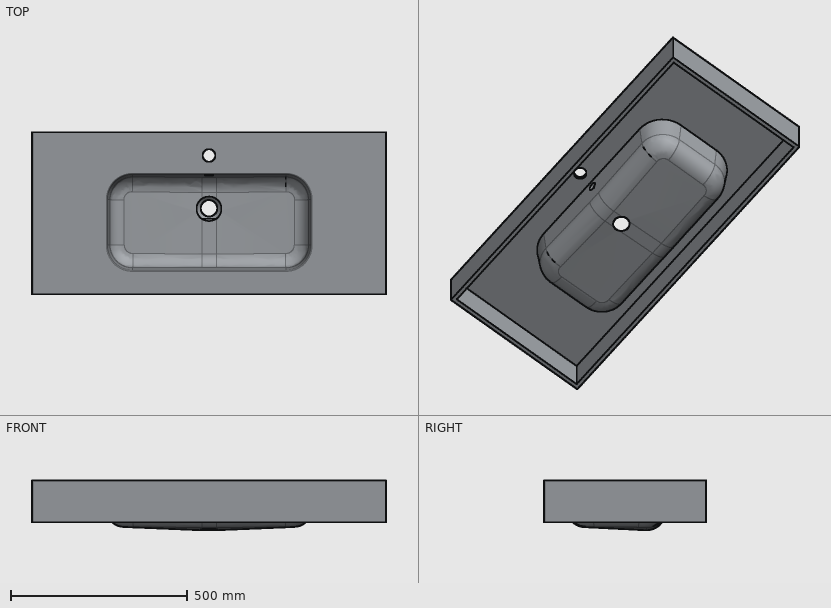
import cadquery as cq

length = 1005.0
depth = 460.0
slab_height = 120.0
shell = 12.0
edge_round = 2.5

bowl_length = 579.0
bowl_width = 273.0
bowl_center_y = -25.0
bowl_corner = 72.0
wall_draft = 6.0
cove_radius = 41.0

floor_depth = 113.0
gutter_depth = 128.0
floor_thickness = 18.0
gutter_half_width = 20.0

drain_y = 14.0
drain_hole = 46.0
drain_rim = 72.0
drain_seat_height = 17.0
drain_seat_bottom = -138.0
tap_y = 164.0
tap_hole = 35.0
overflow_z = -38.0
overflow_hole = 24.0

bowl_back_y = bowl_center_y + bowl_width / 2
bowl_front_y = bowl_center_y - bowl_width / 2

through_depth = gutter_depth + 2 * floor_thickness


def box_selector(x_range, y_range, z_range):
    """Selects the edges whose centres lie inside the given ranges."""
    return cq.selectors.BoxSelector(*zip(x_range, y_range, z_range))


def make_slab():
    """Open-bottomed box with the front, left and right top edges and the front corners rounded."""
    slab = cq.Workplane("XY").rect(length, depth).extrude(-slab_height)
    slab = slab.edges("(<Y and |Z) or (>Z and (<X or >X or <Y))").fillet(edge_round)
    cavity = cq.Workplane("XY").workplane(offset=-slab_height)
    cavity = cavity.rect(length - 2 * shell, depth - 2 * shell).extrude(slab_height - shell)
    return slab.cut(cavity)


def floor_section(y, middle_depth, growth, drop):
    """XZ outline of the space above the floor at one Y."""
    half_length = bowl_length / 2 + growth
    end_z = -floor_depth - drop
    middle_z = -middle_depth - drop
    points = [
        (-half_length, 0),
        (-half_length, end_z),
        (-gutter_half_width, middle_z),
        (gutter_half_width, middle_z),
        (half_length, end_z),
        (half_length, 0),
    ]
    return cq.Wire.makePolygon([cq.Vector(x, y, z) for x, z in points], close=True)


def make_bowl(growth, drop):
    """Solid bowl shape, with its walls moved outwards by growth and its floor lowered by drop."""
    outline = (
        cq.Sketch()
        .rect(bowl_length + 2 * growth, bowl_width + 2 * growth)
        .vertices()
        .fillet(bowl_corner + growth)
    )
    walls = cq.Workplane("XY").center(0, bowl_center_y).placeSketch(outline)
    walls = walls.extrude(-through_depth, taper=wall_draft)

    front = floor_section(bowl_front_y - growth, floor_depth, growth, drop)
    back = floor_section(bowl_back_y + growth, gutter_depth, growth, drop)
    bowl = walls.intersect(cq.Workplane(cq.Solid.makeLoft([front, back], True)))

    low_edges = box_selector((-length, length), (-depth, depth), (-through_depth, cove_radius - floor_depth))
    fold_reach = 2 * gutter_half_width
    folds = box_selector((-fold_reach, fold_reach), (drain_y - drain_rim, drain_y), (-through_depth, 0))
    return bowl.edges(low_edges - folds).fillet(cove_radius + growth)


def round_bowl_rim(body):
    """Rounds the edge between the top face and the bowl walls."""
    rim_reach = bowl_length / 2 + edge_round
    rim = box_selector(
        (-rim_reach, rim_reach),
        (bowl_front_y - edge_round, bowl_back_y + edge_round),
        (-edge_round / 2, edge_round / 2),
    )
    return body.edges(rim).fillet(edge_round)


def make_drain():
    """Drain hole with a conical seat at its top."""
    hole = cq.Workplane("XY").center(0, drain_y).circle(drain_hole / 2).extrude(-through_depth)
    seat = (
        cq.Workplane("XY", origin=(0, drain_y, drain_seat_bottom))
        .circle(drain_hole / 2)
        .workplane(offset=drain_seat_height)
        .circle(drain_rim / 2)
        .loft()
    )
    return hole.union(seat)


def make_tap_hole():
    """Vertical hole through the deck behind the bowl."""
    return cq.Workplane("XY").center(0, tap_y).circle(tap_hole / 2).extrude(-2 * shell)


def make_overflow():
    """Horizontal hole through the back wall of the bowl, open to the hollow behind it."""
    start = cq.Workplane("XZ", origin=(0, bowl_back_y - 2 * shell, overflow_z))
    return start.circle(overflow_hole / 2).extrude(-4 * shell)


basin = make_slab().union(make_bowl(shell, floor_thickness)).cut(make_bowl(0, 0))
basin = round_bowl_rim(basin)
result = basin.cut(make_drain()).cut(make_tap_hole()).cut(make_overflow())